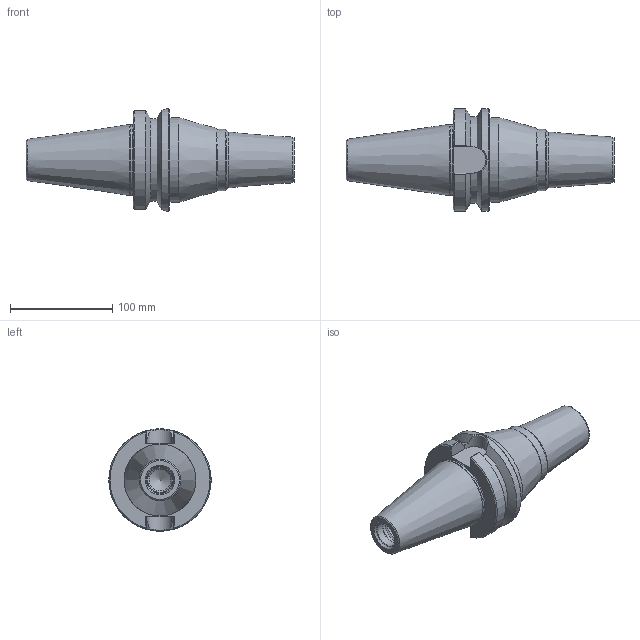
import cadquery as cq
import math

GAUGE_RADIUS = 69.85 / 2
TAPER_SLOPE = 7 / 24 / 2
TAPER_LENGTH = 101.8
TAPER_TIP_CHAMFER = 1.0
TAPER_END = -0.8
TAPER_RELIEF_START = 0.2
TAPER_RELIEF_DEPTH = 0.6
TAPER_RELIEF_RADIUS = GAUGE_RADIUS - TAPER_RELIEF_DEPTH

FLANGE_RADIUS = 50.0
FLANGE_FRONT = 3.0
FLANGE_BACK = 38.0
FLANGE_CHAMFER = 1.0
FLANGE_ROOT_FILLET = 0.8
GROOVE_CENTER = 23.1
GROOVE_FLOOR_WIDTH = 6.5
GROOVE_FLOOR_RADIUS = 42.3
GROOVE_WALL_ANGLE = 30.0

SLOT_WIDTH = 25.7
SLOT_FLOOR_HEIGHT = 35.3
SLOT_END = 35.0
SLOT_EDGE_CHAMFER = 1.0

NOSE_END = 160.0
BODY_RADIUS = 41.5
BODY_CYLINDER_END = 47.5
BODY_CONE_END = 84.5
BODY_CONE_END_RADIUS = 31.0
COLLAR_RADIUS = 29.9
COLLAR_START = 85.7
COLLAR_END = 94.2
COLLAR_CHAMFER = 0.8
SHANK_START = 96.0
SHANK_END_RADIUS = 22.25
SHANK_ANGLE = 4.5
SHANK_TIP_CHAMFER = 1.5
SHANK_TIP_CHAMFER_DROP = 0.75

MOUTH_RADIUS = 14.5
MOUTH_INNER_RADIUS = 13.2
MOUTH_CONE_ANGLE = 30.0
SEAT_CONE_ANGLE = 60.0
COUNTERBORE_RADIUS = 12.5
COUNTERBORE_DEPTH = 10.0
THREAD_RADIUS = 12.0
THREAD_CORE_RADIUS = 10.4
THREAD_RUN_IN = 3.0
THREAD_DEPTH = 45.0
DRILL_POINT_ANGLE = 118.0


def taper_radius(x):
    """Radius of the spindle taper at station x."""
    return GAUGE_RADIUS + TAPER_SLOPE * x


def revolve_about_x(outline):
    """Solid of revolution about X from a closed half outline in the XY plane."""
    return outline.close().revolve(360, (0, 0, 0), (1, 0, 0))


def holder_body():
    """Spindle taper, grooved flange and nose as one solid of revolution."""
    tip = -TAPER_LENGTH
    groove_depth = FLANGE_RADIUS - GROOVE_FLOOR_RADIUS
    floor_half = GROOVE_FLOOR_WIDTH / 2
    mouth_half = floor_half + groove_depth * math.tan(math.radians(GROOVE_WALL_ANGLE))
    shank_slope = math.tan(math.radians(SHANK_ANGLE))
    shank_start_radius = SHANK_END_RADIUS + shank_slope * (NOSE_END - SHANK_START)
    shank_tip = NOSE_END - SHANK_TIP_CHAMFER
    outline = (
        cq.Workplane("XY")
        .moveTo(tip, 0)
        .lineTo(tip, taper_radius(tip) - TAPER_TIP_CHAMFER)
        .lineTo(tip + TAPER_TIP_CHAMFER, taper_radius(tip + TAPER_TIP_CHAMFER))
        .lineTo(TAPER_END, taper_radius(TAPER_END))
        .lineTo(TAPER_RELIEF_START, TAPER_RELIEF_RADIUS)
        .lineTo(FLANGE_FRONT - FLANGE_ROOT_FILLET, TAPER_RELIEF_RADIUS)
        .radiusArc((FLANGE_FRONT, TAPER_RELIEF_RADIUS + FLANGE_ROOT_FILLET), -FLANGE_ROOT_FILLET)
        .lineTo(FLANGE_FRONT, FLANGE_RADIUS - FLANGE_CHAMFER)
        .lineTo(FLANGE_FRONT + FLANGE_CHAMFER, FLANGE_RADIUS)
        .lineTo(GROOVE_CENTER - mouth_half, FLANGE_RADIUS)
        .lineTo(GROOVE_CENTER - floor_half, GROOVE_FLOOR_RADIUS)
        .lineTo(GROOVE_CENTER + floor_half, GROOVE_FLOOR_RADIUS)
        .lineTo(GROOVE_CENTER + mouth_half, FLANGE_RADIUS)
        .lineTo(FLANGE_BACK - FLANGE_CHAMFER, FLANGE_RADIUS)
        .lineTo(FLANGE_BACK, FLANGE_RADIUS - FLANGE_CHAMFER)
        .lineTo(FLANGE_BACK, BODY_RADIUS + FLANGE_ROOT_FILLET)
        .radiusArc((FLANGE_BACK + FLANGE_ROOT_FILLET, BODY_RADIUS), -FLANGE_ROOT_FILLET)
        .lineTo(BODY_CYLINDER_END, BODY_RADIUS)
        .lineTo(BODY_CONE_END, BODY_CONE_END_RADIUS)
        .lineTo(COLLAR_START, COLLAR_RADIUS)
        .lineTo(COLLAR_END - COLLAR_CHAMFER, COLLAR_RADIUS)
        .lineTo(COLLAR_END, COLLAR_RADIUS - COLLAR_CHAMFER)
        .lineTo(SHANK_START, shank_start_radius)
        .lineTo(shank_tip, SHANK_END_RADIUS + shank_slope * SHANK_TIP_CHAMFER)
        .lineTo(NOSE_END, SHANK_END_RADIUS - SHANK_TIP_CHAMFER_DROP)
        .lineTo(NOSE_END, 0)
    )
    return revolve_about_x(outline)


def pull_stud_hole():
    """Recessed mouth, conical seat, counterbore, thread core and drill point."""
    tip = -TAPER_LENGTH
    mouth_length = (MOUTH_RADIUS - MOUTH_INNER_RADIUS) / math.tan(math.radians(MOUTH_CONE_ANGLE))
    seat_start = tip + mouth_length
    seat_length = (MOUTH_INNER_RADIUS - COUNTERBORE_RADIUS) / math.tan(math.radians(SEAT_CONE_ANGLE))
    thread_start = tip + COUNTERBORE_DEPTH
    core_start = thread_start + THREAD_RUN_IN
    thread_end = tip + THREAD_DEPTH
    point_length = THREAD_CORE_RADIUS / math.tan(math.radians(DRILL_POINT_ANGLE / 2))
    outline = cq.Workplane("XY").polyline([
        (tip, 0),
        (tip, MOUTH_RADIUS),
        (seat_start, MOUTH_INNER_RADIUS),
        (seat_start + seat_length, COUNTERBORE_RADIUS),
        (thread_start, COUNTERBORE_RADIUS),
        (thread_start, THREAD_RADIUS),
        (core_start, THREAD_RADIUS),
        (core_start + THREAD_RADIUS - THREAD_CORE_RADIUS, THREAD_CORE_RADIUS),
        (thread_end, THREAD_CORE_RADIUS),
        (thread_end + point_length, 0),
    ])
    return revolve_about_x(outline)


def drive_slot():
    """Upper drive slot: flat floor, flared entry, round far end and beveled flange edges."""
    half = SLOT_WIDTH / 2
    flared_half = half + SLOT_EDGE_CHAMFER
    depth = FLANGE_RADIUS - SLOT_FLOOR_HEIGHT
    slot = (
        cq.Workplane("XY", origin=(0, 0, SLOT_FLOOR_HEIGHT))
        .moveTo(FLANGE_FRONT, -flared_half)
        .lineTo(FLANGE_FRONT + SLOT_EDGE_CHAMFER, -half)
        .lineTo(SLOT_END - half, -half)
        .threePointArc((SLOT_END, 0), (SLOT_END - half, half))
        .lineTo(FLANGE_FRONT + SLOT_EDGE_CHAMFER, half)
        .lineTo(FLANGE_FRONT, flared_half)
        .close()
        .extrude(depth)
    )
    bevel_bottom = math.sqrt(FLANGE_RADIUS**2 - flared_half**2) - SLOT_EDGE_CHAMFER
    bevel_rise = FLANGE_RADIUS - bevel_bottom
    edge_bevel = (
        cq.Workplane("YZ", origin=(FLANGE_FRONT, 0, 0))
        .moveTo(-half, bevel_bottom)
        .lineTo(half, bevel_bottom)
        .lineTo(half + bevel_rise, FLANGE_RADIUS)
        .lineTo(-half - bevel_rise, FLANGE_RADIUS)
        .close()
        .extrude(GROOVE_CENTER - FLANGE_FRONT)
    )
    return slot.union(edge_bevel)


def slot_end_rims(body):
    """The curved edges where the round slot ends break the flange rim."""
    nearest_rim_point = cq.selectors.NearestToPointSelector
    upper_rim = body.edges(nearest_rim_point((SLOT_END, 0, FLANGE_RADIUS)))
    lower_rim = body.edges(nearest_rim_point((SLOT_END, 0, -FLANGE_RADIUS)))
    return upper_rim.add(lower_rim)


result = holder_body().cut(pull_stud_hole())
upper_slot = drive_slot()
for turn in (0, 180):
    result = result.cut(upper_slot.rotate((0, 0, 0), (1, 0, 0), turn))
result = slot_end_rims(result).chamfer(SLOT_EDGE_CHAMFER)